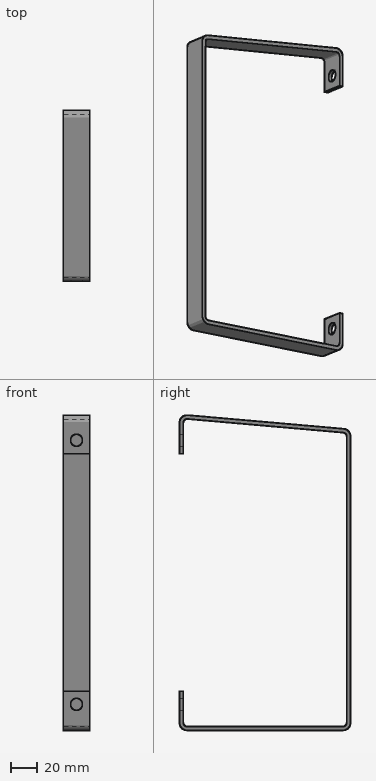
import cadquery as cq
import math

width = 20.0
depth = 130.0
height = 239.5

thickness = 3.0
inner_radius = 2.9
outer_radius = inner_radius + thickness
top_slope = 5.0

lower_tab_end = 30.0
upper_tab_drop = 29.5
hole_diameter = 9.0
lower_hole_z = 19.9
upper_hole_drop = 19.2

slope = math.radians(top_slope)

bend_center_y = outer_radius
bend_center_z = height - outer_radius
top_front_z = bend_center_z + (outer_radius + bend_center_y * math.sin(slope)) / math.cos(slope)
top_back_z = top_front_z - depth * math.tan(slope)

arm_drop = thickness / math.cos(slope)
inner_front_z = top_front_z - thickness * math.tan(slope) - arm_drop
inner_back_z = top_front_z - (depth - thickness) * math.tan(slope) - arm_drop

upper_tab_end = height - upper_tab_drop


def round_bend(strip, y, z, radius):
    """Round the edge along X that passes through the point (y, z)."""
    reach = thickness / 4
    near_edge = cq.selectors.BoxSelector(
        (-reach, y - reach, z - reach), (reach, y + reach, z + reach)
    )
    return strip.edges("|X").edges(near_edge).fillet(radius)


strip = (
    cq.Workplane("YZ")
    .polyline(
        [
            (0, lower_tab_end),
            (0, 0),
            (depth, 0),
            (depth, top_back_z),
            (0, top_front_z),
            (0, upper_tab_end),
            (thickness, upper_tab_end),
            (thickness, inner_front_z),
            (depth - thickness, inner_back_z),
            (depth - thickness, thickness),
            (thickness, thickness),
            (thickness, lower_tab_end),
        ]
    )
    .close()
    .extrude(width / 2, both=True)
)

outer_corners = [(0, 0), (depth, 0), (depth, top_back_z), (0, top_front_z)]
inner_corners = [
    (thickness, thickness),
    (depth - thickness, thickness),
    (depth - thickness, inner_back_z),
    (thickness, inner_front_z),
]
for y, z in outer_corners:
    strip = round_bend(strip, y, z, outer_radius)
for y, z in inner_corners:
    strip = round_bend(strip, y, z, inner_radius)

for hole_z in (lower_hole_z, height - upper_hole_drop):
    hole = (
        cq.Workplane("XZ", origin=(0, 0, hole_z))
        .circle(hole_diameter / 2)
        .extrude(-2 * thickness)
    )
    strip = strip.cut(hole)

result = strip